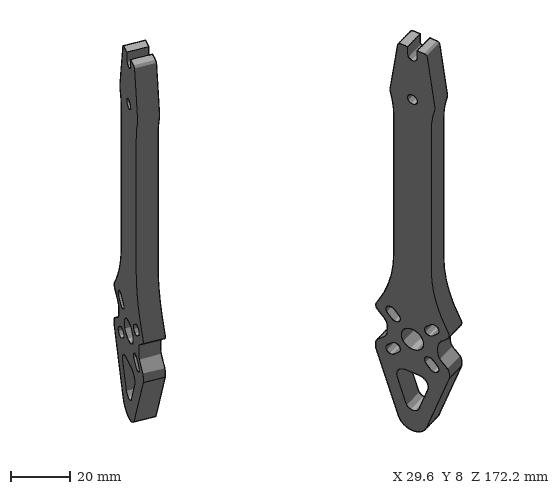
import cadquery as cq
import math

thickness = 8.0
length = 172.2
half_width = 14.8
tail_z = -41.2
tip_z = tail_z + length

fork_half_width = 5.9
fork_corner_radius = 1.4
fork_slot_width = 3.8
fork_slot_bottom_z = 125.7
head_half_width = 9.1
head_z = 108.2
head_corner_radius = 3.5
pin_hole_diameter = 4.0

shank_half_width = 7.5
shank_top_z = 97.8
shank_bottom_z = 34.8
flare_end_x = 13.6
flare_end_z = 11.4
shoulder_x = 15.3
shoulder_z = 8.1
shoulder_radius = 2.33

notch_x = 10.2
notch_half_flat = 3.1
notch_radius = 4.7
lower_shoulder_z = -7.2
lower_shoulder_radius = 3.1

taper_start_z = -10.7
taper_angle = math.radians(18.8)
tail_radius = 6.0
tail_center_z = tail_z + tail_radius
tail_tangent_x = tail_radius * math.cos(taper_angle)
tail_tangent_z = tail_center_z - tail_radius * math.sin(taper_angle)

motor_hole_diameter = 9.0
screw_slot_offset = 7.8
screw_slot_length = 6.5
screw_slot_width = 4.0
screw_slot_angle = 45

window_top_z = -15.0
window_bottom_z = -31.9
window_top_half_width = 7.8
window_top_radius = 3.6
window_bottom_radius = 2.5
window_bottom_half_width = (
    window_top_half_width - (window_top_z - window_bottom_z) * math.tan(taper_angle)
)


def front_plane():
    """XZ sketch plane whose positive extrusion runs along -Y."""
    return cq.Workplane("XZ", origin=(0, thickness / 2, 0))


def round_corner(body, x, z, radius):
    """Round the through-thickness edge at (x, z)."""
    return body.edges(cq.selectors.NearestToPointSelector((x, 0, z))).fillet(radius)


def tangent_arc_middle(x0, z0, x1, z1):
    """Middle of an arc leaving (x0, z0) along Z and ending at (x1, z1)."""
    dx = x1 - x0
    dz = z1 - z0
    radius = (dx**2 + dz**2) / (2 * dx)
    half_sweep = math.asin(dz / radius) / 2
    return (
        x0 + radius * (1 - math.cos(half_sweep)),
        z0 + radius * math.sin(half_sweep),
    )


def make_half_plate():
    """The +X half of the plate, without its openings."""
    neck_middle = tangent_arc_middle(shank_half_width, shank_top_z, head_half_width, head_z)
    flare_middle = tangent_arc_middle(
        shank_half_width, shank_bottom_z, flare_end_x, flare_end_z
    )
    tail_mid_angle = (math.pi / 2 + taper_angle) / 2
    tail_middle = (
        tail_radius * math.cos(tail_mid_angle),
        tail_center_z - tail_radius * math.sin(tail_mid_angle),
    )
    half = (
        front_plane()
        .moveTo(0, tip_z)
        .lineTo(fork_half_width, tip_z)
        .lineTo(head_half_width, head_z)
        .threePointArc(neck_middle, (shank_half_width, shank_top_z))
        .lineTo(shank_half_width, shank_bottom_z)
        .threePointArc(flare_middle, (flare_end_x, flare_end_z))
        .lineTo(shoulder_x, shoulder_z)
        .lineTo(notch_x, notch_half_flat)
        .lineTo(notch_x, -notch_half_flat)
        .lineTo(half_width, lower_shoulder_z)
        .lineTo(half_width, taper_start_z)
        .lineTo(tail_tangent_x, tail_tangent_z)
        .threePointArc(tail_middle, (0, tail_z))
        .close()
        .extrude(thickness)
    )
    corners = [
        (fork_half_width, tip_z, fork_corner_radius),
        (head_half_width, head_z, head_corner_radius),
        (shoulder_x, shoulder_z, shoulder_radius),
        (notch_x, notch_half_flat, notch_radius),
        (notch_x, -notch_half_flat, notch_radius),
        (half_width, lower_shoulder_z, lower_shoulder_radius),
    ]
    for x, z, radius in corners:
        half = round_corner(half, x, z, radius)
    return half


def make_fork_slot():
    """Open slot in the tip with a round bottom."""
    radius = fork_slot_width / 2
    round_start_z = fork_slot_bottom_z + radius
    return (
        front_plane()
        .moveTo(-radius, tip_z)
        .lineTo(-radius, round_start_z)
        .threePointArc((0, fork_slot_bottom_z), (radius, round_start_z))
        .lineTo(radius, tip_z)
        .close()
        .extrude(thickness)
    )


def make_round_hole(z, diameter):
    return front_plane().center(0, z).circle(diameter / 2).extrude(thickness)


def make_screw_slot(side_x, side_z):
    """Round-ended slot whose length points at the motor axis."""
    return (
        front_plane()
        .center(side_x * screw_slot_offset, side_z * screw_slot_offset)
        .slot2D(screw_slot_length, screw_slot_width, screw_slot_angle * side_x * side_z)
        .extrude(thickness)
    )


def make_window():
    """Rounded trapezoid that lightens the tail."""
    window = (
        front_plane()
        .moveTo(-window_top_half_width, window_top_z)
        .lineTo(window_top_half_width, window_top_z)
        .lineTo(window_bottom_half_width, window_bottom_z)
        .lineTo(-window_bottom_half_width, window_bottom_z)
        .close()
        .extrude(thickness)
    )
    for side in (-1, 1):
        window = round_corner(window, side * window_top_half_width, window_top_z, window_top_radius)
        window = round_corner(
            window, side * window_bottom_half_width, window_bottom_z, window_bottom_radius
        )
    return window


half_plate = make_half_plate()
result = half_plate.union(half_plate.mirror("YZ")).clean()
result = result.cut(make_fork_slot())
result = result.cut(make_round_hole(head_z, pin_hole_diameter))
result = result.cut(make_round_hole(0, motor_hole_diameter))
for side_x in (-1, 1):
    for side_z in (-1, 1):
        result = result.cut(make_screw_slot(side_x, side_z))
result = result.cut(make_window())